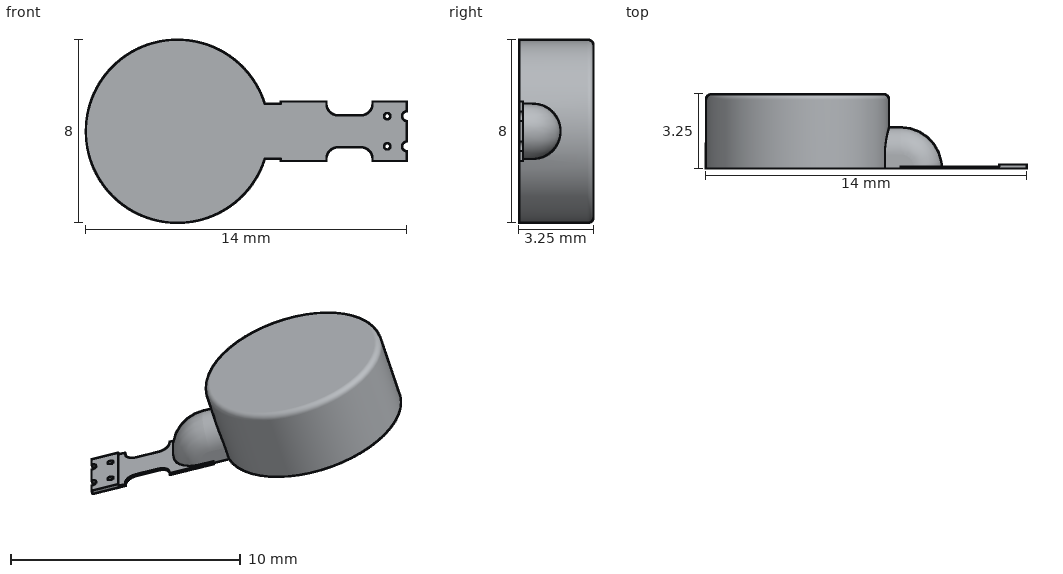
import cadquery as cq
import math

overall_length = 14.0

case_diameter = 8.0
case_radius = case_diameter / 2
case_depth = 3.25
case_edge_radius = 0.25

bead_width = 2.41
bead_cap_radius = bead_width / 2
bead_flat_depth = 0.6

tail_start = 4.5
tail_end = overall_length - case_radius
tail_half_width = 1.3
tail_thickness = 0.1
waist_start = 6.5
waist_end = 8.5
waist_half_width = 0.7
waist_corner_radius = 0.5

stiffener_start = 8.79
stiffener_thickness = 0.08
contact_offset = 0.66
hole_x = 9.14
hole_diameter = 0.27
notch_diameter = 0.42


def front_block(x_start, x_end, half_width, depth, y_start=0.0):
    """Box centred on z = 0, reaching back from y_start."""
    return (
        cq.Workplane("XY")
        .box(x_end - x_start, depth, 2 * half_width, centered=(False, False, True))
        .translate((x_start, y_start, 0))
    )


def rod_along_y(diameter, depth, x=0.0, z=0.0):
    """Cylinder from y = 0 back to the given depth."""
    return cq.Workplane("XZ").center(x, z).circle(diameter / 2).extrude(-depth)


def make_case():
    return rod_along_y(case_diameter, case_depth).faces(">Y").edges().fillet(case_edge_radius)


def bead_section():
    """Flat-sided section with a semicircular back, where the tail starts."""
    return (
        cq.Workplane("YZ", origin=(tail_start, 0, 0))
        .moveTo(0, -bead_cap_radius)
        .lineTo(bead_flat_depth, -bead_cap_radius)
        .threePointArc((bead_flat_depth + bead_cap_radius, 0), (bead_flat_depth, bead_cap_radius))
        .lineTo(0, bead_cap_radius)
        .close()
    )


def make_bead():
    case_reach = math.sqrt(case_radius**2 - bead_cap_radius**2)
    overlap = 0.28
    straight = bead_section().extrude(-(tail_start - case_reach + overlap))
    turned_end = bead_section().revolve(90, (0, 0, 0), (0, -1, 0))
    return straight.union(turned_end)


def make_tail():
    tail = front_block(tail_start, tail_end, tail_half_width, tail_thickness)
    stiffener = front_block(
        stiffener_start, tail_end, tail_half_width, stiffener_thickness, tail_thickness
    )
    tail = tail.union(stiffener)

    cut_depth = tail_thickness + stiffener_thickness
    recess_half_height = tail_half_width - waist_half_width + waist_corner_radius
    for side in (-1, 1):
        recess = (
            front_block(waist_start, waist_end, recess_half_height, cut_depth)
            .edges("|Y")
            .fillet(waist_corner_radius)
            .translate((0, 0, side * (waist_half_width + recess_half_height)))
        )
        hole = rod_along_y(hole_diameter, cut_depth, hole_x, side * contact_offset)
        notch = rod_along_y(notch_diameter, cut_depth, tail_end, side * contact_offset)
        tail = tail.cut(recess).cut(hole).cut(notch)
    return tail


result = make_case().union(make_bead()).union(make_tail())